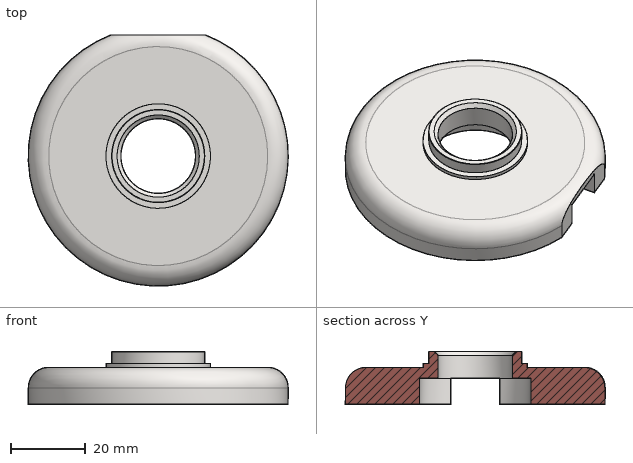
import cadquery as cq

disc_radius = 34.9
disc_height = 10.0
rim_fillet = 5.5
flat_offset = 32.5

flange_radius = 14.0
flange_height = 1.05
collar_radius = 12.5
total_height = 14.2
collar_outer_chamfer = 0.1

bore_radius = 10.0
bore_chamfer = 1.05
recess_radius = 14.9
recess_depth = 7.0
slot_width = 13.1


def cylinder(radius, bottom, top):
    return cq.Workplane("XY").workplane(offset=bottom).circle(radius).extrude(top - bottom)


def rounded_disc():
    """Disc with a rounded upper rim, trimmed by a flat on its +Y side."""
    disc = cylinder(disc_radius, 0, disc_height).faces(">Z").edges().fillet(rim_fillet)
    trim_depth = disc_radius + flat_offset
    trim = (
        cq.Workplane("XY")
        .center(0, flat_offset - trim_depth / 2)
        .rect(2 * disc_radius, trim_depth)
        .extrude(disc_height)
    )
    return disc.intersect(trim)


def neck():
    """Thin flange carrying the collar around the bore."""
    flange = cylinder(flange_radius, 0, disc_height + flange_height)
    collar = cylinder(collar_radius, 0, total_height)
    collar = collar.faces(">Z").edges().chamfer(collar_outer_chamfer)
    return flange.union(collar)


def chamfered_bore():
    """Through bore that widens conically at the collar's mouth."""
    mouth_radius = bore_radius + bore_chamfer
    profile = [
        (0, 0),
        (bore_radius, 0),
        (bore_radius, total_height - bore_chamfer),
        (mouth_radius, total_height),
        (0, total_height),
    ]
    return cq.Workplane("XZ").polyline(profile).close().revolve(360, (0, 0), (0, 1))


def underside_recess():
    """Round recess in the base, with a straight slot running out through the flat."""
    round_recess = cylinder(recess_radius, 0, recess_depth)
    slot = (
        cq.Workplane("XY")
        .center(0, flat_offset / 2)
        .rect(slot_width, flat_offset)
        .extrude(recess_depth)
    )
    return round_recess.union(slot)


result = rounded_disc().union(neck()).cut(chamfered_bore()).cut(underside_recess())